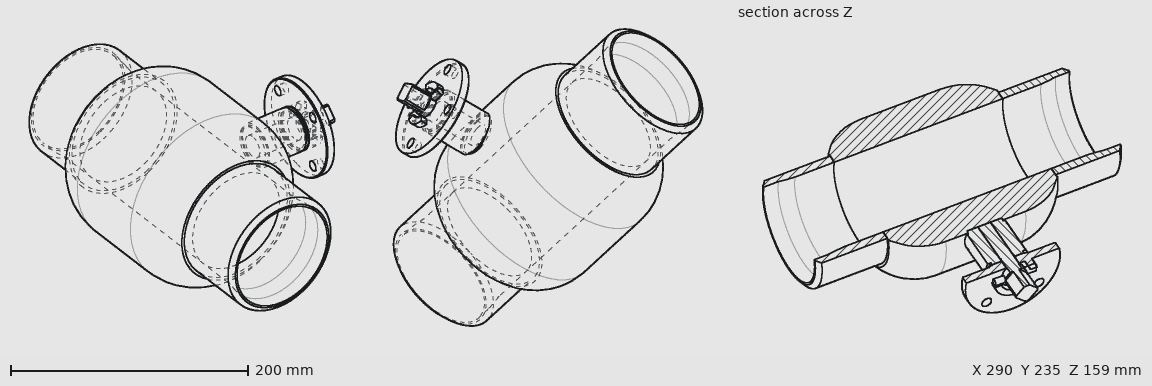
import cadquery as cq
import math


overall_length = 290

housing_radius = 79.5
housing_half_length = 80.0
barrel_half_length = 37.7
housing_rim_radius = 56.5
bore_radius = 45.5

pipe_radius = 54.0
pipe_mouth_radius = 47.3
pipe_mouth_depth = 13.5
pipe_taper_end_depth = 28.5
weld_bevel_length = 3.8
weld_face_width = 1.7
left_pipe_length = 64.0
right_pipe_length = overall_length - 2 * housing_half_length - left_pipe_length

neck_seat_y = 76.5
sleeve_bottom_y = housing_radius
sleeve_top_y = 118.0
hub_bottom_y = 120.5
flange_bottom_y = 121.5
flange_top_y = 129.3
stop_top_y = 135.5
stem_top_y = 155.5

sleeve_radius = 20.0
spigot_radius = 18.3
nose_radius = 17.5

flange_radius = 45.0
flange_chamfer = 1.0
bolt_circle_radius = 35.0
bolt_hole_diameter = 9.0
bolt_hole_count = 4
bolt_start_angle = 45
stop_inner_radius = 14.0

stem_radius = 10.2
stem_square_side = 16.0
stem_square_angle = 45
pin_radius = (stop_top_y - flange_top_y) / 2
pin_half_length = 19.0
pin_y = (stop_top_y + flange_top_y) / 2


def cylinder_y(radius, start_y, end_y):
    """Cylinder on the stem axis between two Y levels."""
    return cq.Workplane("XZ", origin=(0, start_y, 0)).circle(radius).extrude(start_y - end_y)


def cylinder_x(radius, half_length, center_y=0):
    """Cylinder along X, centred on X = 0."""
    plane = cq.Workplane("YZ", origin=(-half_length, center_y, 0))
    return plane.circle(radius).extrude(2 * half_length)


def make_housing():
    dome_length = housing_half_length - barrel_half_length
    dome_drop = housing_radius - housing_rim_radius
    dome_arc_radius = (dome_length**2 + dome_drop**2) / (2 * dome_drop)
    half_angle = math.asin(dome_length / dome_arc_radius) / 2
    mid_x = barrel_half_length + dome_arc_radius * math.sin(half_angle)
    mid_radius = housing_radius - dome_arc_radius * (1 - math.cos(half_angle))
    profile = (
        cq.Workplane("XY")
        .moveTo(-housing_half_length, bore_radius)
        .lineTo(-housing_half_length, housing_rim_radius)
        .threePointArc((-mid_x, mid_radius), (-barrel_half_length, housing_radius))
        .lineTo(barrel_half_length, housing_radius)
        .threePointArc((mid_x, mid_radius), (housing_half_length, housing_rim_radius))
        .lineTo(housing_half_length, bore_radius)
        .close()
    )
    body = profile.revolve(360, (0, 0, 0), (1, 0, 0))
    return body.cut(cylinder_y(spigot_radius, neck_seat_y, housing_radius))


def make_pipe(length, side):
    """Pipe stub butted against the housing rim; side is -1 or +1 along X."""
    open_end = housing_half_length + length
    section = [
        (housing_half_length, bore_radius),
        (housing_half_length, pipe_radius),
        (open_end - weld_bevel_length, pipe_radius),
        (open_end, pipe_mouth_radius + weld_face_width),
        (open_end, pipe_mouth_radius),
        (open_end - pipe_mouth_depth, pipe_mouth_radius),
        (open_end - pipe_taper_end_depth, bore_radius),
    ]
    profile = cq.Workplane("XY").polyline([(side * x, radius) for x, radius in section]).close()
    return profile.revolve(360, (0, 0, 0), (1, 0, 0))


def make_neck():
    spigot = cylinder_y(spigot_radius, neck_seat_y, sleeve_bottom_y)
    sleeve = cylinder_y(sleeve_radius, sleeve_bottom_y, sleeve_top_y)
    nose = cylinder_y(nose_radius, sleeve_top_y, hub_bottom_y)
    stem_bore = cylinder_y(stem_radius, neck_seat_y, hub_bottom_y)
    return spigot.union(sleeve).union(nose).cut(stem_bore)


def make_stop(side):
    """Quarter-ring stop on the flange; its flat ends meet the pin at either end of a quarter turn."""
    ring = cylinder_y(sleeve_radius, flange_top_y, stop_top_y)
    ring = ring.cut(cylinder_y(stop_inner_radius, flange_top_y, stop_top_y))
    offset = side * (pin_radius + sleeve_radius / 2)
    quadrant = cq.Workplane("XY").box(sleeve_radius, stop_top_y - flange_top_y, sleeve_radius)
    return ring.intersect(quadrant.translate((offset, pin_y, -offset)))


def make_flange():
    disc = cylinder_y(flange_radius, flange_bottom_y, flange_top_y).faces("<Y").chamfer(flange_chamfer)
    bolt_holes = (
        cq.Workplane("XZ", origin=(0, flange_bottom_y, 0))
        .polarArray(bolt_circle_radius, bolt_start_angle, 360, bolt_hole_count)
        .circle(bolt_hole_diameter / 2)
        .extrude(flange_bottom_y - flange_top_y)
    )
    hub = cylinder_y(sleeve_radius, hub_bottom_y, flange_bottom_y)
    flange = disc.cut(bolt_holes).union(hub)
    for side in (-1, 1):
        flange = flange.union(make_stop(side))
    return flange.cut(cylinder_y(stem_radius, hub_bottom_y, flange_top_y))


def make_stem():
    shaft = cylinder_y(stem_radius, neck_seat_y, stop_top_y)
    square = (
        cq.Workplane("XZ", origin=(0, stop_top_y, 0))
        .transformed(rotate=(0, 0, stem_square_angle))
        .rect(stem_square_side, stem_square_side)
        .extrude(stop_top_y - stem_top_y)
    )
    drive = cylinder_y(stem_radius, stop_top_y, stem_top_y).intersect(square)
    return shaft.union(drive).cut(cylinder_x(pin_radius, pin_half_length, pin_y))


housing = make_housing()
pipes = [make_pipe(length, side) for length, side in ((left_pipe_length, -1), (right_pipe_length, 1))]
neck = make_neck()
flange = make_flange()
stem = make_stem()
stop_pin = cylinder_x(pin_radius, pin_half_length, pin_y)

result = cq.Compound.makeCompound([
    housing.val(),
    *[pipe.val() for pipe in pipes],
    neck.val(),
    flange.val(),
    stem.val(),
    stop_pin.val(),
])